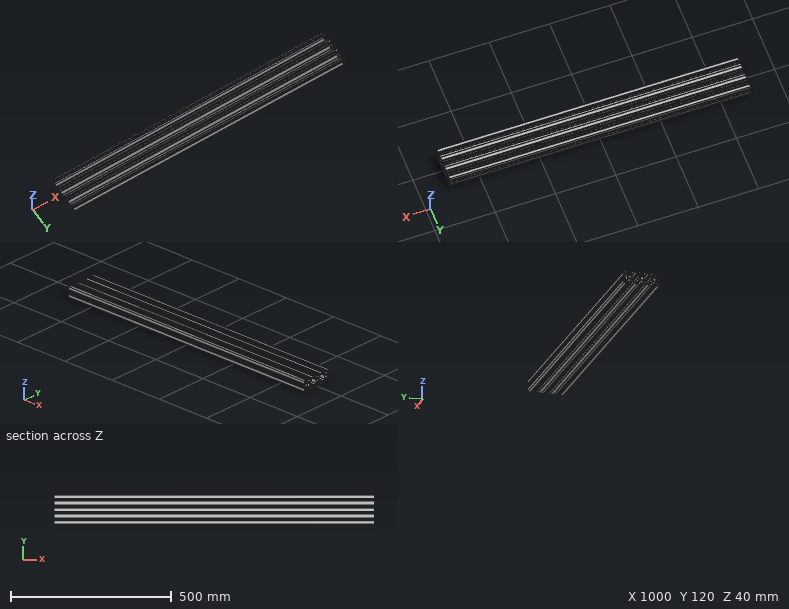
import cadquery as cq

length = 1000.0
pitch = 40.0
module_count = 3
half_height = pitch / 2
width = module_count * pitch
corner_radius = 3.0

core_half_width = 7.5
bore_radius = 5.5

mouth_half_width = 5.8
mouth_depth = 1.5
neck_half_width = 5.0
lip_thickness = 6.0
cavity_half_width = 10.0
diagonal_web_offset = 1.2

hollow_end_half_width = 7.8
hollow_middle_half_width = 13.0
hollow_half_height = 17.0
hollow_taper_end = 6.5
hollow_taper_height = 4.0
hollow_taper_start = hollow_taper_end + hollow_taper_height

groove_width = 12.0
groove_depth = 1.0

corner_wall = 2.0
corner_hollow_reach = 12.0

module_centers = [(i - (module_count - 1) / 2) * pitch for i in range(module_count)]
joint_centers = [y + pitch / 2 for y in module_centers[:-1]]


def bar(points):
    """Prism along the whole length from (y, z) outline points."""
    return cq.Workplane("YZ").polyline(points).close().extrude(length)


def slot_outline():
    """T-slot as (offset from slot axis, distance from module center) points."""
    under_lip = half_height - lip_thickness
    step = half_height - mouth_depth
    wall_end = cavity_half_width + diagonal_web_offset
    right = [
        (mouth_half_width, half_height),
        (mouth_half_width, step),
        (neck_half_width, step),
        (neck_half_width, under_lip),
        (cavity_half_width, under_lip),
        (cavity_half_width, wall_end),
        (core_half_width - diagonal_web_offset, core_half_width),
    ]
    left = [(-u, v) for u, v in reversed(right)]
    return right + left


def hollow_outline():
    """Joint hollow: narrow at the top and bottom, wide between the module cores."""
    upper_right = [
        (hollow_end_half_width, hollow_half_height),
        (hollow_end_half_width, hollow_taper_start),
        (hollow_middle_half_width, hollow_taper_end),
    ]
    right = upper_right + [(y, -z) for y, z in reversed(upper_right)]
    left = [(-y, z) for y, z in reversed(right)]
    return right + left


cutters = []

for center in module_centers:
    for side in (1, -1):
        cutters.append(bar([(center + u, side * v) for u, v in slot_outline()]))
    cutters.append(cq.Workplane("YZ").center(center, 0).circle(bore_radius).extrude(length))

outer_center = module_centers[-1]
for side in (1, -1):
    cutters.append(bar([(side * (outer_center + v), u) for u, v in slot_outline()]))

for center in joint_centers:
    cutters.append(bar([(center + y, z) for y, z in hollow_outline()]))
    for side in (1, -1):
        groove = cq.Workplane("YZ").center(center, side * half_height)
        cutters.append(groove.rect(groove_width, 2 * groove_depth).extrude(length))

corner_triangle = [
    (corner_wall, corner_wall),
    (corner_hollow_reach, corner_wall),
    (corner_wall, corner_hollow_reach),
]
for side_y in (1, -1):
    for side_z in (1, -1):
        points = [(side_y * (width / 2 - u), side_z * (half_height - v)) for u, v in corner_triangle]
        cutters.append(bar(points))

profile = cq.Workplane("YZ").rect(width, pitch).extrude(length).edges("|X").fillet(corner_radius)
cut_profile = profile.val().cut(*[cutter.val() for cutter in cutters])
result = cq.Workplane(cut_profile.Solids()[0])